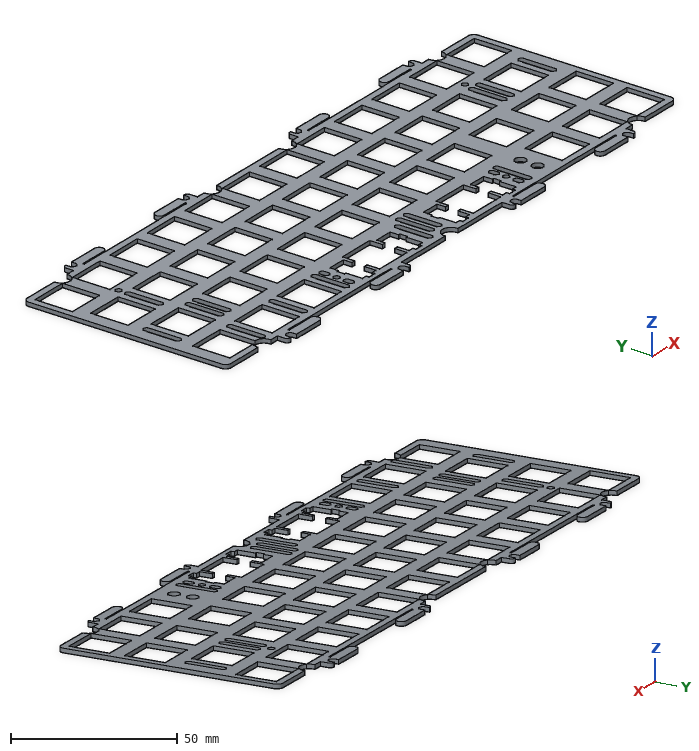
import cadquery as cq


plate_length = 228.5
columns = 12
rows = 4
pitch = plate_length / columns
plate_width = rows * pitch
thickness = 1.5
corner_radius = 2.0

switch_size = 14.0
top_row_keys = [1] * 12
second_row_keys = [1.25] + [1] * 9 + [1.75]
third_row_keys = [1.75] + [1] * 7 + [1.25, 1, 1]
bottom_row_keys = [1.25, 1, 1.25, 2.25, 2.75, 0.5, 1, 1, 1]
bottom_row_blank = 5
long_keys = (3, 4)

stabilizer_offset = 12.0
stabilizer_width = 6.9
stabilizer_top = 5.5
stabilizer_bottom = -6.6
foot_width = 3.0
foot_bottom = -7.8
hook_reach = 16.0
hook_top = 2.3
hook_bottom = -0.5
channel_height = 4.5

slot_width = 2.2
slot_length = switch_size
slot_offset = 10.7
slot_spacing = 3.7
short_slot_spacing = 3.2
middle_slot_x = -6.5
right_slot_x = 44.0
raised_slot_x = (-2.3, 1.5)
raised_slot_lift = 2.5
short_slot_length = 3.7
short_slot_offset = 4.5

small_hole = slot_width
large_hole = 4.0
large_hole_x = 52.3
large_hole_offset = 3.2

total_width = 84.1
tab_reach = (total_width - plate_width) / 2
tab_slit = 0.53
tab_height = tab_reach - tab_slit
tab_stub = 3.0
tab_arm = 14.9
tab_root = 2.5
tab_corner = 1.1
tab_notch_width = 2.7
tab_notch_depth = 2.7

standoff_radius = 3.2
standoff_depth = 3.5


def row_y(row):
    """Y of a row of keys, counted from the top."""
    return plate_width / 2 - (row + 0.5) * pitch


def key_centres(widths):
    """X of every key in a row with the given key widths."""
    centres = []
    left = -plate_length / 2
    for width in widths:
        centres.append(left + width * pitch / 2)
        left += width * pitch
    return centres


def box(left, right, bottom, top):
    """Block through the plate thickness."""
    return (
        cq.Workplane("XY")
        .center((left + right) / 2, (bottom + top) / 2)
        .rect(right - left, top - bottom)
        .extrude(thickness)
    )


def cylinders(points, diameter):
    """Round cutters through the plate thickness."""
    return cq.Workplane("XY").pushPoints(points).circle(diameter / 2).extrude(thickness)


def upright_slots(points, length):
    """Round-ended slots that run along Y."""
    return cq.Workplane("XY").pushPoints(points).slot2D(length, slot_width, 90).extrude(thickness)


def upright_notch(x, edge, radius, depth):
    """Cutter for a round-bottomed notch that opens upwards at Y = edge."""
    floor_centre = edge - depth + radius
    return cylinders([(x, floor_centre)], 2 * radius).union(
        box(x - radius, x + radius, floor_centre, edge + radius)
    )


def tab(notch_x, inward):
    """Tab on the top edge; inward is +1 or -1, the X direction in which its arm points."""
    edge = plate_width / 2
    tip = tab_arm - tab_height / 2
    arm_bottom = edge + tab_slit
    arm_top = edge + tab_reach
    outline = (
        cq.Workplane("XY")
        .moveTo(-tab_stub, edge - tab_slit)
        .lineTo(tab_root, edge - tab_slit)
        .lineTo(tab_root, arm_bottom)
        .lineTo(tip, arm_bottom)
        .threePointArc((tab_arm, arm_bottom + tab_height / 2), (tip, arm_top))
        .lineTo(tab_corner - tab_stub, arm_top)
        .radiusArc((-tab_stub, arm_top - tab_corner), -tab_corner)
        .close()
        .extrude(thickness)
    )
    notch = upright_notch(0, arm_top, tab_notch_width / 2, tab_notch_depth)
    shape = outline.cut(notch)
    if inward < 0:
        shape = shape.mirror("YZ")
    return shape.translate((notch_x, 0, 0))


def stabilizer_opening(x, y):
    """Opening of a long key: two stabilizer housings joined to the switch by a channel."""
    opening = box(x - stabilizer_offset, x + stabilizer_offset,
                  y - channel_height / 2, y + channel_height / 2)
    opening = opening.union(box(x - hook_reach, x + hook_reach, y + hook_bottom, y + hook_top))
    for side in (-1, 1):
        centre = x + side * stabilizer_offset
        for width, bottom in ((stabilizer_width, stabilizer_bottom), (foot_width, foot_bottom)):
            opening = opening.union(
                box(centre - width / 2, centre + width / 2, y + bottom, y + stabilizer_top)
            )
    return opening


result = (
    cq.Workplane("XY")
    .rect(plate_length, plate_width)
    .extrude(thickness)
    .edges("|Z")
    .fillet(corner_radius)
)
for notch_column, inward in ((-4.5, 1), (-1.5, -1), (1.5, 1), (4.5, -1)):
    top_tab = tab(notch_column * pitch, inward)
    result = result.union(top_tab).union(top_tab.mirror("XZ"))

for column in (-5, -1, 1, 5):
    result = result.cut(upright_notch(column * pitch, plate_width / 2, standoff_radius, standoff_depth))
for column in (-5, 0, 5):
    notch = upright_notch(column * pitch, plate_width / 2, standoff_radius, standoff_depth)
    result = result.cut(notch.mirror("XZ"))

bottom_y = row_y(rows - 1)
top_x = key_centres(top_row_keys)
second_x = key_centres(second_row_keys)
third_x = key_centres(third_row_keys)
bottom_x = key_centres(bottom_row_keys)
switches = []
for row, centres in enumerate((top_x, second_x, third_x, bottom_x)):
    for place, x in enumerate(centres):
        is_blank = row == rows - 1 and place == bottom_row_blank
        if not is_blank:
            switches.append((x, row_y(row)))
result = result.cut(
    cq.Workplane("XY").pushPoints(switches).rect(switch_size, switch_size).extrude(thickness)
)
for place in long_keys:
    result = result.cut(stabilizer_opening(bottom_x[place], bottom_y))

web_slot_x = (second_x[0] + second_x[1]) / 2
wide_key_x = second_x[-1]
wide_key_slots = [
    wide_key_x + slot_offset,
    wide_key_x - slot_offset,
    wide_key_x - slot_offset - slot_spacing,
]
left_short_x = bottom_x[2] + slot_offset + short_slot_spacing
right_short_x = right_slot_x - short_slot_spacing

slots = [(web_slot_x, row_y(1))]
slots += [(x, row_y(1)) for x in wide_key_slots]
slots += [(-x, row_y(2)) for x in wide_key_slots]
slots += [
    (x, bottom_y)
    for x in (
        web_slot_x,
        (bottom_x[1] + bottom_x[2]) / 2,
        bottom_x[2] + slot_offset,
        middle_slot_x,
        right_slot_x,
    )
]
slots += [(x, bottom_y + raised_slot_lift) for x in raised_slot_x]
result = result.cut(upright_slots(slots, slot_length))

short_slots = []
for x in (left_short_x, right_short_x):
    for side in (-1, 1):
        short_slots.append((x, bottom_y + side * short_slot_offset))
result = result.cut(upright_slots(short_slots, short_slot_length))

upper_hole_y = (row_y(0) + row_y(1)) / 2
small_holes = [
    (web_slot_x, upper_hole_y),
    ((second_x[-2] + wide_key_x) / 2, upper_hole_y),
    (left_short_x, bottom_y),
    (right_short_x, bottom_y),
]
result = result.cut(cylinders(small_holes, small_hole))
large_holes = [(large_hole_x, bottom_y + side * large_hole_offset) for side in (-1, 1)]
result = result.cut(cylinders(large_holes, large_hole))